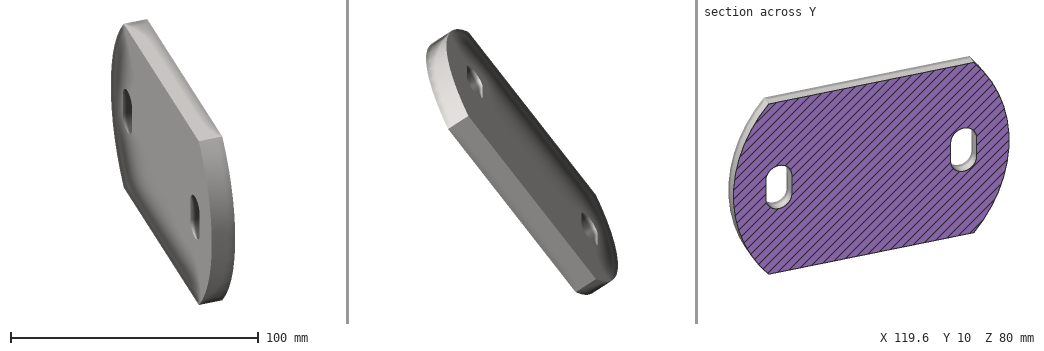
import cadquery as cq

disc_diameter = 119.6
height = 80.0
thickness = 10.0

slot_spacing = 80.0
slot_width = 11.0
slot_height = 20.0
upright_angle = 90


def plate_blank():
    """Disc with its axis along Y, trimmed to flats at the top and bottom."""
    disc = cq.Workplane("XZ").circle(disc_diameter / 2).extrude(thickness / 2, both=True)
    trim = cq.Workplane("XY").box(disc_diameter, thickness, height)
    return disc.intersect(trim)


def slot_cutters():
    """Round-ended slots standing along Z, long enough to pass through the plate."""
    return (
        cq.Workplane("XZ")
        .pushPoints([(-slot_spacing / 2, 0), (slot_spacing / 2, 0)])
        .slot2D(slot_height, slot_width, upright_angle)
        .extrude(thickness, both=True)
    )


result = plate_blank().cut(slot_cutters())